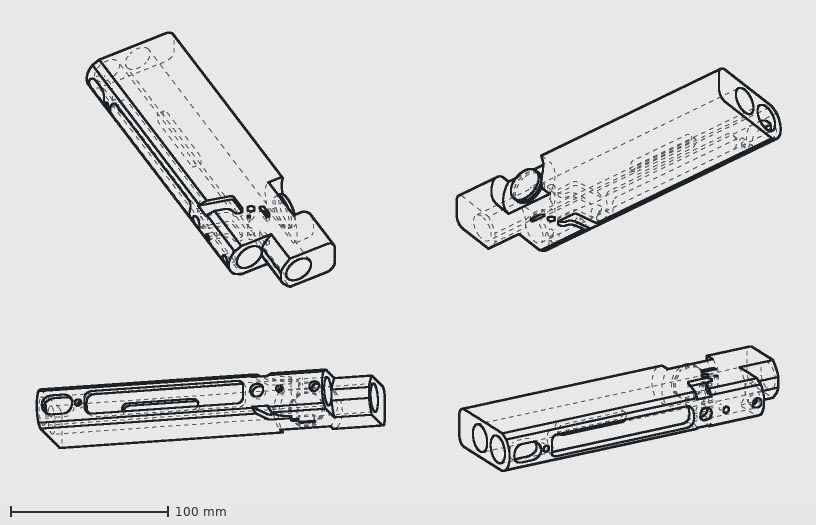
import cadquery as cq
import math

LENGTH = 212.1
WIDTH = 63.5
THICKNESS = 25.9
HALF_T = THICKNESS / 2
BACK_FILLET = 6.4

BORE_D = 18.0
LOWER_BORE_Y = 14.8
UPPER_BORE_Y = 37.1

NOSE_R = LOWER_BORE_Y
NOSE_BEVEL_Z = 10.4
NOSE_BEVEL_Y = 9.1

STEP_X = 187.5
END_FLAT_Y = 24.2
END_FLAT_Z = 3.5
END_R = math.hypot(UPPER_BORE_Y - END_FLAT_Y, END_FLAT_Z)
END_BEVEL_Z = 8.0
END_BEVEL_Y = 30.8

RECESS_X = 163.1
RECESS_D = 42.0
RECESS_FLOOR_Y = 51.3
BOSS_D = 22.5
BOSS_NECK_D = 21.8
BOSS_NECK_H = 1.7
BOSS_H = 4.5

PORT_X = 13.4
PORT_LENGTH = 20.0
PORT_HEIGHT = 12.5
WINDOW_X = 83.5
WINDOW_LENGTH = 104.4
WINDOW_HEIGHT = 14.8
WINDOW_CORNER_R = 4.5
WEB_SLOT_X = 74.9
WEB_SLOT_LENGTH = 50.0
WEB_SLOT_HEIGHT = 7.2
FRONT_HOLES = [(27.2, 4.0), (144.7, 8.5), (159.5, 4.0), (182.5, 6.4)]

POCKET_FLOOR_Z = 9.8
LEVER_TOP_Y = 25.7
LEVER_TIP_R = 3.2
LEVER_TIP_X = 158.5
LEVER_MOUTH_LEFT_X = 139.5
LEVER_MOUTH_RIGHT_X = 149.8
SHOULDER_START = (145.5, 23.8)
SHOULDER_MIDDLE = (146.4, 25.2)
SHOULDER_END_X = 148.0
THROAT_MIDDLE = (155.5, 18.0)
THROAT_END = (153.8, 15.3)

THROUGH_HOLE_X = 161.6
THROUGH_HOLE_Y = 30.3
THROUGH_HOLE_D = 4.7
SIGHT_SLOT_X = 168.0
SIGHT_SLOT_Y = 37.0
SIGHT_SLOT_LENGTH = 9.8
SIGHT_SLOT_WIDTH = 2.8
SIGHT_SLOT_CORNER_R = 1.5
PIN_X = 167.0
PIN_Y = 25.9
PIN_D = 1.7
PIN_DEPTH = 4.2


def circle_y(center_y, radius, z):
    """Y of the front half of a circle at height z."""
    return center_y - math.sqrt(radius**2 - z**2)


def main_section():
    bevel_start_y = circle_y(LOWER_BORE_Y, NOSE_R, NOSE_BEVEL_Z)
    body = (
        cq.Workplane("YZ")
        .moveTo(bevel_start_y, -NOSE_BEVEL_Z)
        .threePointArc((0, 0), (bevel_start_y, NOSE_BEVEL_Z))
        .lineTo(NOSE_BEVEL_Y, HALF_T)
        .lineTo(WIDTH, HALF_T)
        .lineTo(WIDTH, -HALF_T)
        .lineTo(NOSE_BEVEL_Y, -HALF_T)
        .close()
        .extrude(STEP_X)
    )
    return body.edges("|X and >Y").fillet(BACK_FILLET)


def end_section():
    bevel_start_y = circle_y(UPPER_BORE_Y, END_R, END_BEVEL_Z)
    middle_z = (END_FLAT_Z + END_BEVEL_Z) / 2
    middle_y = circle_y(UPPER_BORE_Y, END_R, middle_z)
    body = (
        cq.Workplane("YZ", origin=(STEP_X, 0, 0))
        .moveTo(END_FLAT_Y, -END_FLAT_Z)
        .lineTo(END_FLAT_Y, END_FLAT_Z)
        .threePointArc((middle_y, middle_z), (bevel_start_y, END_BEVEL_Z))
        .lineTo(END_BEVEL_Y, HALF_T)
        .lineTo(WIDTH, HALF_T)
        .lineTo(WIDTH, -HALF_T)
        .lineTo(END_BEVEL_Y, -HALF_T)
        .lineTo(bevel_start_y, -END_BEVEL_Z)
        .threePointArc((middle_y, -middle_z), (END_FLAT_Y, -END_FLAT_Z))
        .close()
        .extrude(LENGTH - STEP_X)
    )
    return body.edges("|X and >Y").fillet(BACK_FILLET)


def along_y(x, y):
    """Workplane centred at (x, y, 0); positive extrusion runs toward +Y."""
    return cq.Workplane(cq.Plane(origin=(x, y, 0), xDir=(1, 0, 0), normal=(0, 1, 0)))


def bores():
    centers = [(LOWER_BORE_Y, 0), (UPPER_BORE_Y, 0)]
    return cq.Workplane("YZ").pushPoints(centers).circle(BORE_D / 2).extrude(LENGTH)


def recess():
    return along_y(RECESS_X, RECESS_FLOOR_Y).circle(RECESS_D / 2).extrude(WIDTH - RECESS_FLOOR_Y)


def boss():
    neck = along_y(RECESS_X, RECESS_FLOOR_Y).circle(BOSS_NECK_D / 2).extrude(BOSS_NECK_H)
    head_y = RECESS_FLOOR_Y + BOSS_NECK_H
    head = along_y(RECESS_X, head_y).circle(BOSS_D / 2).extrude(BOSS_H - BOSS_NECK_H)
    return neck.union(head)


def front_openings():
    """Port, window and holes reach the lower bore; the web slot joins both bores."""
    cuts = along_y(PORT_X, 0).slot2D(PORT_LENGTH, PORT_HEIGHT).extrude(LOWER_BORE_Y)
    window = along_y(WINDOW_X, 0).rect(WINDOW_LENGTH, WINDOW_HEIGHT).extrude(LOWER_BORE_Y)
    cuts = cuts.union(window.edges("|Y").fillet(WINDOW_CORNER_R))
    web_slot = along_y(WEB_SLOT_X, LOWER_BORE_Y).slot2D(WEB_SLOT_LENGTH, WEB_SLOT_HEIGHT)
    cuts = cuts.union(web_slot.extrude(UPPER_BORE_Y - LOWER_BORE_Y))
    for x, diameter in FRONT_HOLES:
        cuts = cuts.union(along_y(x, 0).circle(diameter / 2).extrude(LOWER_BORE_Y))
    return cuts


def lever_pockets():
    """Hooked pocket open to the front edge, mirrored onto the other broad face."""
    tip_y = LEVER_TOP_Y - LEVER_TIP_R
    upper = (
        cq.Workplane("XY", origin=(0, 0, POCKET_FLOOR_Z))
        .moveTo(LEVER_MOUTH_LEFT_X, 0)
        .lineTo(*SHOULDER_START)
        .threePointArc(SHOULDER_MIDDLE, (SHOULDER_END_X, LEVER_TOP_Y))
        .lineTo(LEVER_TIP_X, LEVER_TOP_Y)
        .threePointArc((LEVER_TIP_X + LEVER_TIP_R, tip_y), (LEVER_TIP_X, tip_y - LEVER_TIP_R))
        .threePointArc(THROAT_MIDDLE, THROAT_END)
        .lineTo(LEVER_MOUTH_RIGHT_X, 0)
        .close()
        .extrude(HALF_T - POCKET_FLOOR_Z)
    )
    return upper.union(upper.mirror("XY"))


def face_openings():
    """Through hole and sight slot, plus a shallow pin hole in the top face."""
    base = cq.Workplane("XY", origin=(0, 0, -HALF_T))
    hole = base.center(THROUGH_HOLE_X, THROUGH_HOLE_Y).circle(THROUGH_HOLE_D / 2).extrude(THICKNESS)
    slot = (
        base.center(SIGHT_SLOT_X, SIGHT_SLOT_Y)
        .rect(SIGHT_SLOT_LENGTH, SIGHT_SLOT_WIDTH)
        .extrude(THICKNESS)
        .edges("|Z and >Y")
        .fillet(SIGHT_SLOT_CORNER_R)
    )
    pin = cq.Workplane("XY", origin=(PIN_X, PIN_Y, HALF_T)).circle(PIN_D / 2).extrude(-PIN_DEPTH)
    return hole.union(slot).union(pin)


result = (
    main_section()
    .union(end_section())
    .cut(recess())
    .union(boss())
    .cut(bores())
    .cut(front_openings())
    .cut(lever_pockets())
    .cut(face_openings())
)